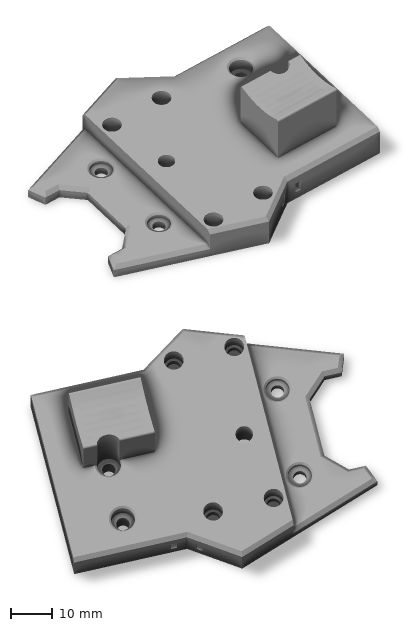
import cadquery as cq
import math

length = 76.7
body_half_width = 22.5
widest_half_width = 30.6
shoulder_y = 48.6
widest_y = 36.9
plate_height = 8.4
edge_chamfer = 1.0

step_y = 22.85
step_height = 3.45
tip_outer_x = 17.1
tip_inner_x = 12.5
tip_inner_y = 1.8
notch_top_half_width = 7.6
notch_top_y = 10.9
notch_corner_y = notch_top_y - (tip_inner_x - notch_top_half_width)

total_height = 21.2
block_width = 14.95
block_length = 17.8
block_center_x = 8.05
block_center_y = 60.0
saddle_radius = 18.4
saddle_edge_fillet = 0.5

screw_diameter = 3.2
head_diameter = 5.8
rear_head_depth = 3.5
front_head_depth = 1.45
head_chamfer = 0.45
rear_screw_y = 62.65
center_screw = (0, rear_screw_y)
rear_screws = [(-14.5, rear_screw_y), center_screw]
front_screw_x = 11.5
front_screw_y = 17.95
front_screws = [(-front_screw_x, front_screw_y), (front_screw_x, front_screw_y)]

insert_center = (2.45, 33.5)
insert_spacing = (40.5, 15.0)
insert_diameter = 4.75
insert_depth = 4.6
pilot_diameter = 3.45
pilot_depth = 6.5

through_diameter = 4.2
through_y = 29.0

channel_inner_radius = 2.45
channel_outer_radius = 4.0
channel_bottom_z = 2.2
channel_height = 3.0


def chamfered_outline(height):
    """Full plate outline, chamfered on every top edge except the rear one."""
    right_side = [
        (body_half_width, length),
        (body_half_width, shoulder_y),
        (widest_half_width, widest_y),
        (tip_outer_x, 0),
        (tip_inner_x, tip_inner_y),
        (tip_inner_x, notch_corner_y),
        (notch_top_half_width, notch_top_y),
    ]
    left_side = [(-x, y) for x, y in reversed(right_side)]
    slab = cq.Workplane("XY").polyline(right_side + left_side).close().extrude(height)
    return slab.faces(">Z").edges("not(>Y)").chamfer(edge_chamfer)


def make_plate():
    front_half_space = cq.Workplane("XY").box(
        2 * widest_half_width, step_y, plate_height, centered=(True, False, False)
    )
    thick_rear = chamfered_outline(plate_height).cut(front_half_space)
    return thick_rear.union(chamfered_outline(step_height))


def make_saddle_block():
    """Block with a concave top whose rounded side edges peak at the total height."""
    fillet_center_x = block_width / 2 - saddle_edge_fillet
    fillet_center_drop = math.sqrt((saddle_radius + saddle_edge_fillet) ** 2 - fillet_center_x**2)
    saddle_axis_z = total_height - saddle_edge_fillet + fillet_center_drop

    block = (
        cq.Workplane("XY")
        .center(block_center_x, block_center_y)
        .rect(block_width, block_length)
        .extrude(saddle_axis_z)
    )
    saddle = (
        cq.Workplane("XZ", origin=(block_center_x, block_center_y, saddle_axis_z))
        .circle(saddle_radius)
        .extrude(block_length, both=True)
    )
    block = block.cut(saddle)
    return block.edges("|Y and (not <Z)").fillet(saddle_edge_fillet)


def cylinders(points, diameter, bottom_z, top_z):
    return (
        cq.Workplane("XY", origin=(0, 0, bottom_z))
        .pushPoints(points)
        .circle(diameter / 2)
        .extrude(top_z - bottom_z)
    )


def screw_cutter(points, surface_z, head_depth):
    """Through hole, head pocket and the chamfer around the pocket mouth."""
    mouth = (
        cq.Workplane("XY", origin=(0, 0, surface_z))
        .pushPoints(points)
        .circle(head_diameter / 2 + head_chamfer)
        .extrude(-head_chamfer, taper=45)
    )
    shank = cylinders(points, screw_diameter, 0, surface_z)
    head = cylinders(points, head_diameter, surface_z - head_depth, surface_z)
    return shank.union(head).union(mouth)


def insert_cutter():
    points = [
        (insert_center[0] + i * insert_spacing[0] / 2, insert_center[1] + j * insert_spacing[1] / 2)
        for i in (-1, 1)
        for j in (-1, 1)
    ]
    wide = cylinders(points, insert_diameter, plate_height - insert_depth, plate_height)
    pilot = cylinders(points, pilot_diameter, plate_height - pilot_depth, plate_height)
    return wide.union(pilot)


def tie_channel_cutter():
    return (
        cq.Workplane("XY", origin=(0, 0, channel_bottom_z))
        .pushPoints([(-body_half_width, shoulder_y), (body_half_width, shoulder_y)])
        .circle(channel_outer_radius)
        .circle(channel_inner_radius)
        .extrude(channel_height)
    )


plate = (
    make_plate()
    .cut(screw_cutter(rear_screws, plate_height, rear_head_depth))
    .cut(screw_cutter(front_screws, step_height, front_head_depth))
    .cut(insert_cutter())
    .cut(cylinders([(0, through_y)], through_diameter, 0, plate_height))
    .cut(tie_channel_cutter())
)

block_foot_z = plate_height - head_chamfer
below_block = cq.Workplane("XY").box(
    2 * widest_half_width, length, block_foot_z, centered=(True, False, False)
)
head_groove = cylinders([center_screw], head_diameter, block_foot_z, total_height)
block = make_saddle_block().cut(below_block).cut(head_groove)

result = plate.union(block)